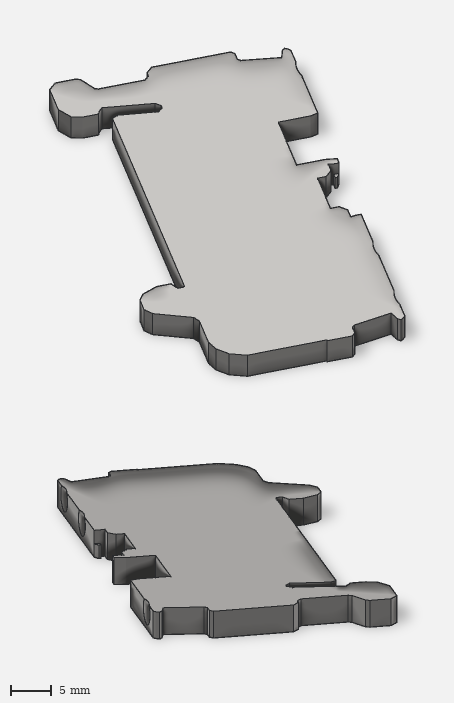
import cadquery as cq


length = 54.8
height = 30.6
thickness = 3.5

bottom_edge = 6.0
shoulder = 23.8
lip_root = 29.1
ledge = 29.2
marker_floor = 27.25
pocket_floor = 25.4
slot_top = 12.4

body_left = 0.5
body_axis = (body_left + length) / 2
shoulder_half = body_axis - body_left
head_half = 24.45
neck_half = 25.3
lip_half = 26.0
lip_drop = 0.65
lip_bevel = 0.3
top_half = 25.35
shoulder_corner = 0.45
neck_corner = 0.35

side_step = 0.15
side_step_y = 20.1
right_side = length - side_step
corner_start_x = 51.0
corner_end_y = 9.9

leg_left = 2.5
foot_chamfer = 1.0
foot_right = 6.95
foot_round_x = 6.5
foot_underside_right = 4.8
leg_knee_y = 5.8
slot_lean_left = 7.0
slot_lean_right = 8.6
slot_mouth = 8.2
slot_mouth_bevel = 0.75
leg_corner = 0.6
left_corner_chamfer = 0.8

hook_root_x = 40.45
hook_root_bevel = 0.2
hook_left = 39.4
hook_tip_left = 41.2
hook_tip_right = 43.1
hook_end_x = 46.95

pocket_left = 14.5
pocket_right = 22.7
post_right = 23.8
marker_left = 25.75
marker_right = 31.5
marker_chamfer = 0.9
right_block_left = 33.6
block_undercut = 0.1
post_undercut = 0.15
post_top_width = 0.8
pocket_flare = 0.3
pocket_flare_y = 29.6
catch_reach = 0.65
catch_bottom = 29.85
catch_nose = 30.15
catch_thickness = thickness / 2

dimple_centers_x = (5.75, 40.15, 49.55)
dimple_center_z = 2.35
dimple_radius = 1.75
dimple_depth = 0.4


def head_side(side):
    """Shoulder, neck and lip, from the shoulder up; side is +1 (right) or -1 (left)."""
    offsets = [
        (shoulder_half, shoulder - shoulder_corner),
        (shoulder_half - shoulder_corner, shoulder),
        (neck_half + neck_corner, shoulder),
        (neck_half, shoulder + neck_corner),
        (head_half, lip_root),
        (lip_half - neck_corner, lip_root + shoulder_corner),
        (lip_half, height - lip_drop),
        (lip_half - lip_bevel, height - lip_bevel),
        (top_half, height),
    ]
    return [(body_axis + side * x, y) for x, y in offsets]


left_foot = [
    (0, foot_chamfer),
    (foot_chamfer, 0),
    (foot_underside_right, 0),
    (foot_round_x, 1.15),
    (foot_right, 2.5),
    (foot_right, 4.55),
    (foot_round_x, 4.75),
    (6.0, 5.25),
]

leg_slot = [
    (slot_lean_left, slot_top - leg_corner),
    (slot_lean_left + leg_corner, slot_top),
    (slot_lean_right - leg_corner, slot_top),
    (slot_lean_right, slot_top - leg_corner),
    (slot_mouth - slot_mouth_bevel / 2, bottom_edge + slot_mouth_bevel),
    (slot_mouth, bottom_edge),
]

right_foot = [
    (hook_root_x - hook_root_bevel, bottom_edge),
    (hook_root_x, bottom_edge - hook_root_bevel),
    (hook_root_x, 5.1),
    (hook_left, 4.5),
    (hook_left, 2.7),
    (40.3, 0.65),
    (hook_tip_left, 0),
    (hook_tip_right, 0),
    (44.05, 0.8),
    (46.15, 5.5),
    (hook_end_x, bottom_edge),
]

lower_right_corner = [
    (corner_start_x, bottom_edge),
    (52.45, 6.5),
    (53.75, 7.85),
    (right_side, corner_end_y),
    (right_side, side_step_y),
    (length, side_step_y),
]

top_recesses = [
    (right_block_left, height),
    (right_block_left, catch_bottom),
    (right_block_left + block_undercut, ledge),
    (marker_right + marker_chamfer, ledge),
    (marker_right, ledge - marker_chamfer),
    (marker_right, marker_floor),
    (marker_left, marker_floor),
    (marker_left, ledge - marker_chamfer),
    (marker_left - marker_chamfer, ledge),
    (post_right - post_undercut, ledge),
    (post_right, catch_bottom),
    (post_right, height),
    (post_right - post_top_width, height),
    (pocket_right, lip_root),
    (pocket_right, pocket_floor),
    (pocket_left, pocket_floor),
    (pocket_left, pocket_flare_y),
    (pocket_left - pocket_flare, height),
]

left_leg = [
    (body_left, slot_top + left_corner_chamfer),
    (body_left + left_corner_chamfer, slot_top),
    (leg_left - leg_corner, slot_top),
    (leg_left, slot_top - leg_corner),
    (leg_left, leg_knee_y),
    (2.3, 5.35),
    (0.3, 4.15),
    (0, 3.65),
]

outline = (
    left_foot
    + leg_slot
    + right_foot
    + lower_right_corner
    + head_side(1)
    + top_recesses
    + head_side(-1)[::-1]
    + left_leg
)
body = cq.Workplane("XY").polyline(outline).close().extrude(thickness)


def catch(root_x, direction):
    """Small catch overhanging the marker recess; direction is the X sign it points in."""
    nose_x = root_x + direction * catch_reach
    profile = [
        (root_x, catch_bottom),
        (nose_x, catch_bottom),
        (nose_x, catch_nose),
        (root_x, height),
    ]
    return cq.Workplane("XY").polyline(profile).close().extrude(catch_thickness)


result = body.union(catch(post_right, 1)).union(catch(right_block_left, -1))

sphere_radius = (dimple_radius**2 + dimple_depth**2) / (2 * dimple_depth)
sphere_y = height - dimple_depth + sphere_radius
for x in dimple_centers_x:
    dimple = cq.Workplane("XY").sphere(sphere_radius).translate((x, sphere_y, dimple_center_z))
    result = result.cut(dimple)